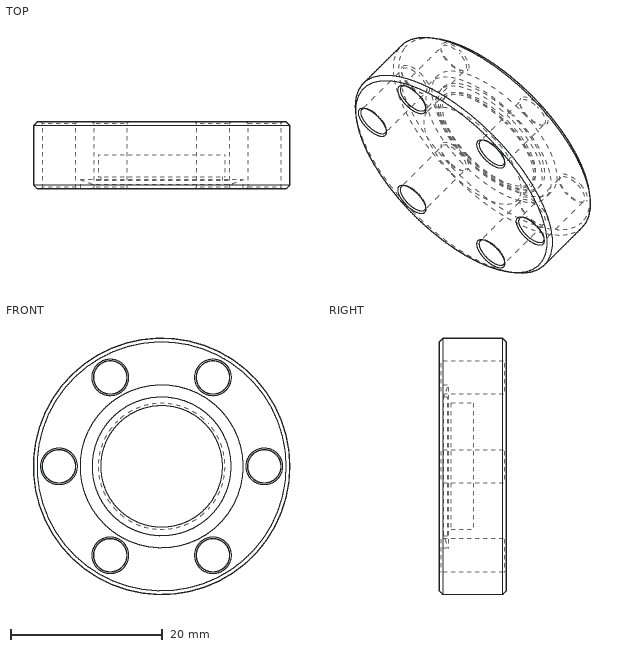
import cadquery as cq

flange_diameter = 33.78
flange_thickness = 8.85
rim_chamfer = 0.5

recess_diameter = 21.45
recess_depth = 1.2
knife_diameter = 18.27
knife_tip_depth = 0.6
seat_depth = 1.1

lip_diameter = 16.0
lip_thickness = 0.45
pocket_diameter = 16.65
pocket_depth = 4.5

bolt_count = 6
bolt_circle_diameter = 27.02
bolt_hole_diameter = 4.35
bolt_hole_chamfer = 0.25


def make_body():
    """Round flange with both outer rims chamfered."""
    body = cq.Workplane("XZ").circle(flange_diameter / 2).extrude(-flange_thickness)
    return body.faces("<Y or >Y").edges().chamfer(rim_chamfer)


def make_center_cut():
    """Revolved volume of the recess, knife edge and central pocket."""
    recess_radius = recess_diameter / 2
    knife_radius = knife_diameter / 2
    lip_radius = lip_diameter / 2
    pocket_radius = pocket_diameter / 2
    lip_back = seat_depth + lip_thickness
    profile = [
        (0, 0),
        (recess_radius, 0),
        (recess_radius, recess_depth),
        (knife_radius, knife_tip_depth),
        (knife_radius, seat_depth),
        (lip_radius, seat_depth),
        (lip_radius, lip_back),
        (pocket_radius, lip_back),
        (pocket_radius, pocket_depth),
        (0, pocket_depth),
    ]
    return cq.Workplane("XY").polyline(profile).close().revolve(360, (0, 0), (0, 1))


def make_bolt_holes():
    """Ring of through holes, each countersunk at both ends."""
    hole_radius = bolt_hole_diameter / 2
    mouth_radius = hole_radius + bolt_hole_chamfer
    profile = [
        (0, 0),
        (mouth_radius, 0),
        (hole_radius, bolt_hole_chamfer),
        (hole_radius, flange_thickness - bolt_hole_chamfer),
        (mouth_radius, flange_thickness),
        (0, flange_thickness),
    ]
    hole = cq.Workplane("XY").polyline(profile).close().revolve(360, (0, 0), (0, 1))
    hole = hole.translate((bolt_circle_diameter / 2, 0, 0))
    holes = cq.Workplane("XY")
    for index in range(bolt_count):
        angle = index * 360 / bolt_count
        holes = holes.add(hole.rotate((0, 0, 0), (0, 1, 0), angle))
    return holes.combine()


result = make_body().cut(make_center_cut()).cut(make_bolt_holes())